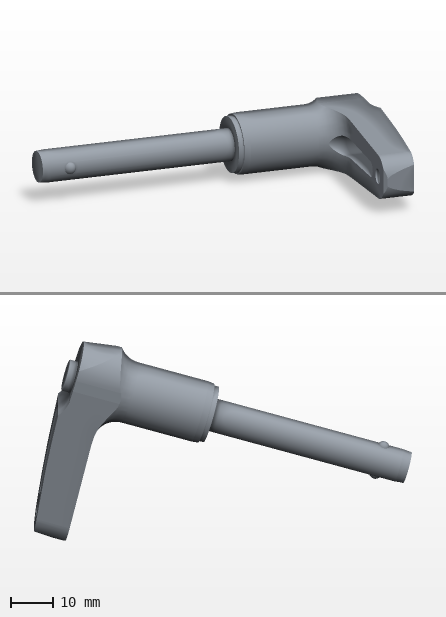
import cadquery as cq
import math

pin_radius = 3.95
tip_radius = 3.8
tip_length = 2.1
ball_radius = 1.5
ball_reach = 4.8
ball_y = 6.9

collar_radius = 6.8
collar_bottom = 48.2
collar_top = 49.5
body_radius = 7.4
body_chamfer_radius = 7.2
body_edge = 51.1

underside = 73.9
flare_radius = 5.8
flare_start = underside - flare_radius
flare_outer_radius = body_radius + flare_radius
head_top = 82.0

button_radius = 3.8
button_top = 84.0
button_round = 0.25

head_radius = 7.9
head_center = -2.0
head_flat_end = 0.7
head_left = head_center - head_radius
end_radius = 5.4
end_center = 34.5

hump_start = (3.8, head_top)
hump_bend = (5.55, 82.4)
hump_peak = (7.6, 83.6)
back_middle = (24.4, 82.2)
back_end = (38.7, 80.5)
end_low = (39.8, 73.4)
end_corner = (39.0, 72.7)

cone_bottom = 73.1
cone_bottom_radius = -head_left
cone_top_radius = 8.7

slot_start = 10.3
slot_start_radius = 2.4
slot_end = 28.65
slot_end_radius = 1.9
hole_radius = 1.85


def cylinder_y(radius, y_low, y_high, x=0):
    return (
        cq.Workplane("XZ", origin=(x, y_low, 0)).circle(radius).extrude(y_low - y_high)
    )


def tapered_outline(x_a, r_a, x_b, r_b):
    """XZ outline of two circles on the X axis joined by their common tangents."""
    lean = (r_a - r_b) / (x_b - x_a)
    rise = math.sqrt(1 - lean**2)
    top_a = (x_a + r_a * lean, r_a * rise)
    top_b = (x_b + r_b * lean, r_b * rise)
    return (
        cq.Workplane("XZ")
        .moveTo(*top_a)
        .lineTo(*top_b)
        .threePointArc((x_b + r_b, 0), (top_b[0], -top_b[1]))
        .lineTo(top_a[0], -top_a[1])
        .threePointArc((x_a - r_a, 0), top_a)
        .close()
    )


def make_pin():
    pin = (
        cq.Workplane("XY")
        .polyline([
            (0, 0), (tip_radius, 0), (pin_radius, tip_length),
            (pin_radius, collar_top), (0, collar_top),
        ])
        .close()
        .revolve(360, (0, 0, 0), (0, 1, 0))
    )
    for side in (-1, 1):
        ball_x = side * (ball_reach - ball_radius)
        ball = cq.Workplane("XY").sphere(ball_radius).translate((ball_x, ball_y, 0))
        pin = pin.union(ball)
    return pin


def make_body():
    return (
        cq.Workplane("XY")
        .moveTo(0, collar_bottom)
        .lineTo(collar_radius, collar_bottom)
        .lineTo(collar_radius, collar_top)
        .lineTo(body_chamfer_radius, collar_top)
        .lineTo(body_radius, body_edge)
        .lineTo(body_radius, underside)
        .lineTo(0, underside)
        .close()
        .revolve(360, (0, 0, 0), (0, 1, 0))
    )


def make_flare():
    arc_step = flare_radius * math.sqrt(0.5)
    arc_middle = (flare_outer_radius - arc_step, flare_start + arc_step)
    return (
        cq.Workplane("XY")
        .moveTo(0, flare_start)
        .lineTo(body_radius, flare_start)
        .threePointArc(arc_middle, (flare_outer_radius, underside))
        .lineTo(0, underside)
        .close()
        .revolve(360, (0, 0, 0), (0, 1, 0))
    )


def make_side_profile():
    return (
        cq.Workplane("XY")
        .moveTo(head_left, underside)
        .lineTo(head_left, head_top)
        .lineTo(*hump_start)
        .threePointArc(hump_bend, hump_peak)
        .threePointArc(back_middle, back_end)
        .lineTo(*end_low)
        .lineTo(*end_corner)
        .lineTo(flare_outer_radius, underside)
        .close()
        .extrude(head_radius, both=True)
    )


def make_plan():
    """Handle outline, extruded along Y through the whole handle."""
    lean = math.asin((head_radius - end_radius) / (end_center - head_flat_end))
    end_x = end_center + end_radius * math.sin(lean)
    end_z = end_radius * math.cos(lean)
    return (
        cq.Workplane("XZ")
        .moveTo(head_center, head_radius)
        .lineTo(head_flat_end, head_radius)
        .lineTo(end_x, end_z)
        .threePointArc((end_center + end_radius, 0), (end_x, -end_z))
        .lineTo(head_flat_end, -head_radius)
        .lineTo(head_center, -head_radius)
        .threePointArc((head_left, 0), (head_center, head_radius))
        .close()
        .extrude(-button_top)
    )


def make_head_draft():
    """Material removed from the head outside a cone about the pin axis."""
    block = cq.Workplane("XY").box(
        head_radius, head_top - cone_bottom, 2 * head_radius, centered=(False, False, True)
    ).translate((head_left, cone_bottom, 0))
    cone = (
        cq.Workplane("XY")
        .polyline([
            (0, cone_bottom), (cone_bottom_radius, cone_bottom),
            (cone_top_radius, head_top), (0, head_top),
        ])
        .close()
        .revolve(360, (0, 0, 0), (0, 1, 0))
    )
    return block.cut(cone)


def make_handle():
    handle = make_side_profile().union(make_flare()).intersect(make_plan())
    slot = tapered_outline(
        slot_start, slot_start_radius, slot_end, slot_end_radius
    ).extrude(-button_top)
    hole = cylinder_y(hole_radius, 0, button_top, end_center)
    return handle.cut(make_head_draft()).cut(slot).cut(hole)


def make_button():
    button = cylinder_y(button_radius, underside, button_top)
    return button.faces(">Y").edges().fillet(button_round)


result = make_pin().union(make_body()).union(make_handle()).union(make_button())